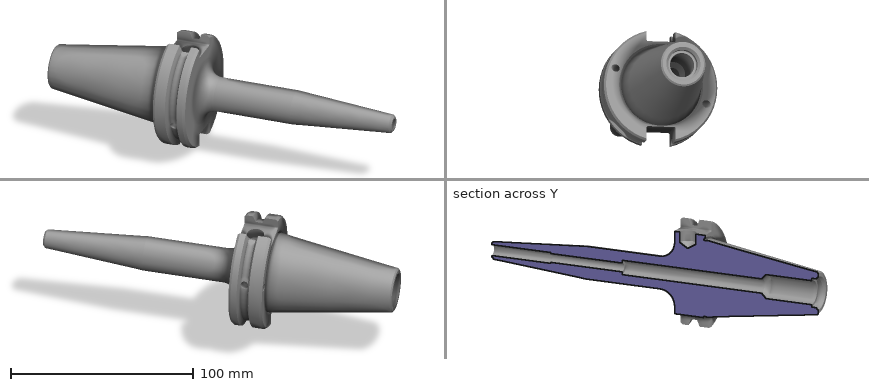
import cadquery as cq
import math

total_length = 198.2
taper_length = 68.0
flange_start = 68.5
flange_end = 87.5
shank_end = 141.0

gauge_diameter = 44.5
taper_rate = 7 / 24
taper_edge = 0.8
gauge_radius = gauge_diameter / 2
small_end_radius = gauge_radius - taper_length * taper_rate / 2

undercut_diameter = 43.8
undercut_outer_diameter = 46.8
undercut_depth = 1.0

flange_diameter = 63.2
flange_edge_length = 1.4
flange_edge_drop = 1.0
groove_center = 79.3
groove_diameter = 56.3
groove_floor_width = 3.8
groove_mouth_width = 6.7
flange_radius = flange_diameter / 2
groove_radius = groove_diameter / 2

shank_diameter = 19.0
neck_fillet = 8.7
nose_diameter = 8.0
nose_edge = 1.2
cone_angle = 4.4
shank_radius = shank_diameter / 2
nose_edge_start = total_length - nose_edge
cone_end_radius = shank_radius - (nose_edge_start - shank_end) * math.tan(math.radians(cone_angle))

mouth_diameter = 19.0
counterbore_diameter = 16.3
mouth_depth = 1.4
counterbore_depth = 4.0
thread_diameter = 13.5
thread_depth = 31.7
channel_diameter = 8.0
channel_end = 119.0
passage_diameter = 4.8
tool_bore_diameter = 6.0
tool_bore_depth = 35.7
bore_cone_length = (thread_diameter - channel_diameter) / 2

slot_width = 16.0
upper_slot_floor = 24.8
lower_slot_floor = 22.6
slot_corner_radius = 0.8

slot_hole_diameter = 9.5
slot_hole_depth = 6.0
drill_point_angle = 118.0

coolant_angles = (20.0, 200.0)
coolant_circle_radius = 27.0
face_hole_diameter = 4.0
face_hole_slope = 30.0
radial_hole_diameter = 4.2
radial_hole_depth = 8.0


def make_body():
    """Revolve the outer contour of taper, flange, neck and nose about X."""
    undercut_radius = undercut_diameter / 2
    neck_end = flange_end + neck_fillet
    arc_offset = neck_fillet * math.sqrt(0.5)
    arc_middle = (neck_end - arc_offset, shank_radius + neck_fillet - arc_offset)
    return (
        cq.Workplane("XY")
        .moveTo(0, 0)
        .lineTo(0, small_end_radius - taper_edge)
        .lineTo(taper_edge, small_end_radius + taper_edge * taper_rate / 2)
        .lineTo(taper_length, gauge_radius)
        .lineTo(taper_length, undercut_radius)
        .lineTo(flange_start + undercut_depth, undercut_radius)
        .lineTo(flange_start, undercut_outer_diameter / 2)
        .lineTo(flange_start, flange_radius - flange_edge_drop)
        .lineTo(flange_start + flange_edge_length, flange_radius)
        .lineTo(flange_end - flange_edge_length, flange_radius)
        .lineTo(flange_end, flange_radius - flange_edge_drop)
        .lineTo(flange_end, shank_radius + neck_fillet)
        .threePointArc(arc_middle, (neck_end, shank_radius))
        .lineTo(shank_end, shank_radius)
        .lineTo(nose_edge_start, cone_end_radius)
        .lineTo(total_length, nose_diameter / 2)
        .lineTo(total_length, 0)
        .close()
        .revolve(360, (0, 0, 0), (1, 0, 0))
    )


def make_groove():
    """Ring to be cut for the V-shaped gripper groove."""
    half_floor = groove_floor_width / 2
    half_mouth = groove_mouth_width / 2
    return (
        cq.Workplane("XY")
        .moveTo(groove_center - half_mouth, flange_radius)
        .lineTo(groove_center - half_floor, groove_radius)
        .lineTo(groove_center + half_floor, groove_radius)
        .lineTo(groove_center + half_mouth, flange_radius)
        .close()
        .revolve(360, (0, 0, 0), (1, 0, 0))
    )


def make_bore():
    """Revolve the stepped through bore about X."""
    counterbore_radius = counterbore_diameter / 2
    thread_radius = thread_diameter / 2
    channel_radius = channel_diameter / 2
    passage_radius = passage_diameter / 2
    tool_bore_radius = tool_bore_diameter / 2
    tool_bore_start = total_length - tool_bore_depth
    return (
        cq.Workplane("XY")
        .moveTo(0, 0)
        .lineTo(0, mouth_diameter / 2)
        .lineTo(mouth_depth, counterbore_radius)
        .lineTo(counterbore_depth, counterbore_radius)
        .lineTo(counterbore_depth, thread_radius)
        .lineTo(thread_depth, thread_radius)
        .lineTo(thread_depth + bore_cone_length, channel_radius)
        .lineTo(channel_end, channel_radius)
        .lineTo(channel_end, passage_radius)
        .lineTo(tool_bore_start, passage_radius)
        .lineTo(tool_bore_start, tool_bore_radius)
        .lineTo(total_length, tool_bore_radius)
        .lineTo(total_length, 0)
        .close()
        .revolve(360, (0, 0, 0), (1, 0, 0))
    )


def make_slot(floor, side):
    """Driving slot above (side = 1) or below (side = -1) the axis."""
    flange_width = flange_end - flange_start
    center = ((flange_start + flange_end) / 2, 0, side * (floor + flange_radius) / 2)
    slot = cq.Workplane("XY").box(flange_width, slot_width, flange_radius - floor)
    floor_face = "<Z" if side > 0 else ">Z"
    return slot.faces(floor_face).edges("|X").fillet(slot_corner_radius).translate(center)


def make_slot_hole():
    """Blind hole with a drill point, sunk into the upper slot floor."""
    radius = slot_hole_diameter / 2
    point_length = radius / math.tan(math.radians(drill_point_angle / 2))
    return (
        cq.Workplane("XZ")
        .moveTo(0, 0)
        .lineTo(radius, 0)
        .lineTo(radius, -slot_hole_depth)
        .lineTo(0, -slot_hole_depth - point_length)
        .close()
        .revolve(360, (0, 0, 0), (0, 1, 0))
        .translate((groove_center, 0, upper_slot_floor))
    )


def make_coolant_hole(angle):
    """Sloping face hole and radial groove hole, turned about X to the given angle from +Y."""
    slope = math.radians(face_hole_slope)
    direction = cq.Vector(math.cos(slope), -math.sin(slope), 0)
    face_point = cq.Vector(flange_start, coolant_circle_radius, 0)
    lead_in = face_hole_diameter
    drill_length = (groove_center - flange_start) / math.cos(slope)
    face_hole = cq.Solid.makeCylinder(
        face_hole_diameter / 2,
        lead_in + drill_length,
        face_point - direction * lead_in,
        direction,
    )
    radial_hole = cq.Solid.makeCylinder(
        radial_hole_diameter / 2,
        radial_hole_depth + flange_radius - groove_radius,
        cq.Vector(groove_center, groove_radius - radial_hole_depth, 0),
        cq.Vector(0, 1, 0),
    )
    hole = cq.Workplane("XY").add(face_hole.fuse(radial_hole))
    return hole.rotate((0, 0, 0), (1, 0, 0), angle)


result = make_body().cut(make_groove()).cut(make_bore())
result = result.cut(make_slot(upper_slot_floor, 1))
result = result.cut(make_slot(lower_slot_floor, -1))
result = result.cut(make_slot_hole())
for coolant_angle in coolant_angles:
    result = result.cut(make_coolant_hole(coolant_angle))